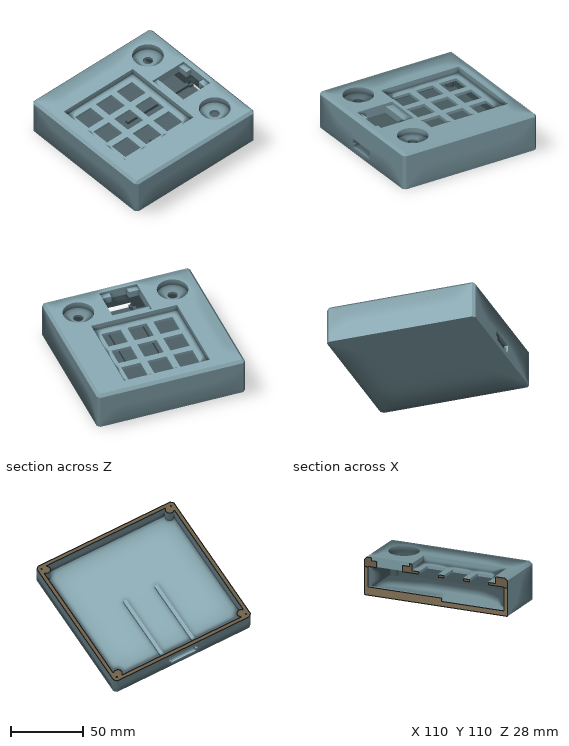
import cadquery as cq

SIDE = 110.0
BASE_HEIGHT = 21.0
LID_HEIGHT = 7.0
EDGE_CHAMFER = 2.0
WALL = 3.0
FLOOR = 4.0

RECESS_DEPTH = 5.0
WEB = LID_HEIGHT - RECESS_DEPTH

KEY_SIZE = 14.3
KEY_GAP = 5.0
KEY_MARGIN = 5.5
KEY_ROWS = 3
KEYPAD_Y = -13.6
KEY_PITCH = KEY_SIZE + KEY_GAP
KEYPAD_SIZE = KEY_ROWS * KEY_SIZE + (KEY_ROWS - 1) * KEY_GAP + 2 * KEY_MARGIN

BUTTON_X = 35.0
BUTTON_Y = 35.0
BUTTON_BORE = 22.0
BUTTON_HOLE = 7.2

WINDOW_WIDTH = 28.0
WINDOW_BACK = 49.5
WINDOW_FRONT = 20.5
WINDOW_LENGTH = WINDOW_BACK - WINDOW_FRONT
TAB_WIDTH = 7.5
TAB_LENGTH = 4.1
LEDGE_LENGTH = 5.5
SUPPORT_SETBACK = 2.1
SUPPORT_HEIGHT = LID_HEIGHT - SUPPORT_SETBACK

RAIL_SPACING = 22.5
RAIL_WIDTH = 2.5
RAIL_HEIGHT = 2.4
RAIL_END = -4.4
RAIL_TOP = FLOOR + RAIL_HEIGHT

POST_DIAMETER = 6.3
POST_OFFSET = 49.5
POST_HEIGHT = BASE_HEIGHT - FLOOR

PORT_TOP = 10.5
PORT_LOWER_WIDTH = 20.0

INNER_BACK = SIDE / 2 - WALL


def box(width, length, height, x, y, z):
    """Box centred on (x, y) and standing on z."""
    return cq.Workplane("XY").box(width, length, height, centered=(True, True, False)).translate((x, y, z))


def block(height, z, chamfered_edges):
    """Full-size square block standing on z, with the selected edges chamfered."""
    return box(SIDE, SIDE, height, 0, 0, z).edges(chamfered_edges).chamfer(EDGE_CHAMFER)


def add_rails(base):
    rail_length = INNER_BACK - RAIL_END
    rail_x = (RAIL_SPACING + RAIL_WIDTH) / 2
    rail_y = RAIL_END + rail_length / 2
    for side in (-1, 1):
        base = base.union(box(RAIL_WIDTH, rail_length, RAIL_HEIGHT, side * rail_x, rail_y, FLOOR))
    return base


def add_corner_posts(base):
    posts = (
        cq.Workplane("XY", origin=(0, 0, FLOOR))
        .rarray(2 * POST_OFFSET, 2 * POST_OFFSET, 2, 2)
        .circle(POST_DIAMETER / 2)
        .extrude(POST_HEIGHT)
    )
    return base.union(posts)


def cut_port(base):
    wall_y = SIDE / 2 - WALL / 2
    upper_port = box(RAIL_SPACING, WALL, PORT_TOP - RAIL_TOP, 0, wall_y, RAIL_TOP)
    lower_port = box(PORT_LOWER_WIDTH, WALL, RAIL_HEIGHT, 0, wall_y, FLOOR)
    return base.cut(upper_port).cut(lower_port)


def make_base():
    cavity_side = SIDE - 2 * WALL
    cavity = box(cavity_side, cavity_side, BASE_HEIGHT - FLOOR, 0, 0, FLOOR)
    base = block(BASE_HEIGHT, 0, "|Z").cut(cavity)
    base = add_rails(base)
    base = add_corner_posts(base)
    return cut_port(base)


def cut_keypad(lid):
    lid = lid.cut(box(KEYPAD_SIZE, KEYPAD_SIZE, RECESS_DEPTH, 0, KEYPAD_Y, BASE_HEIGHT + WEB))
    key_openings = (
        cq.Workplane("XY", origin=(0, KEYPAD_Y, BASE_HEIGHT))
        .rarray(KEY_PITCH, KEY_PITCH, KEY_ROWS, KEY_ROWS)
        .rect(KEY_SIZE, KEY_SIZE)
        .extrude(WEB)
    )
    return lid.cut(key_openings)


def cut_button_holes(lid):
    return (
        lid.faces(">Z")
        .workplane(origin=(0, 0, BASE_HEIGHT + LID_HEIGHT))
        .pushPoints([(-BUTTON_X, BUTTON_Y), (BUTTON_X, BUTTON_Y)])
        .cboreHole(BUTTON_HOLE, BUTTON_BORE, RECESS_DEPTH)
    )


def cut_window(lid):
    window_y = (WINDOW_BACK + WINDOW_FRONT) / 2
    opening = box(WINDOW_WIDTH, WINDOW_LENGTH, LID_HEIGHT, 0, window_y, BASE_HEIGHT)

    tab_x = (WINDOW_WIDTH - TAB_WIDTH) / 2
    tab_y = WINDOW_BACK - TAB_LENGTH / 2
    for side in (-1, 1):
        opening = opening.cut(box(TAB_WIDTH, TAB_LENGTH, SUPPORT_HEIGHT, side * tab_x, tab_y, BASE_HEIGHT))

    ledge_y = WINDOW_FRONT + LEDGE_LENGTH / 2
    opening = opening.cut(box(WINDOW_WIDTH, LEDGE_LENGTH, SUPPORT_HEIGHT, 0, ledge_y, BASE_HEIGHT))
    return lid.cut(opening)


def make_lid():
    lid = block(LID_HEIGHT, BASE_HEIGHT, "|Z or >Z")
    lid = cut_button_holes(lid)
    lid = cut_keypad(lid)
    return cut_window(lid)


base = make_base()
lid = make_lid()

result = cq.Compound.makeCompound([base.solids().val(), lid.solids().val()])